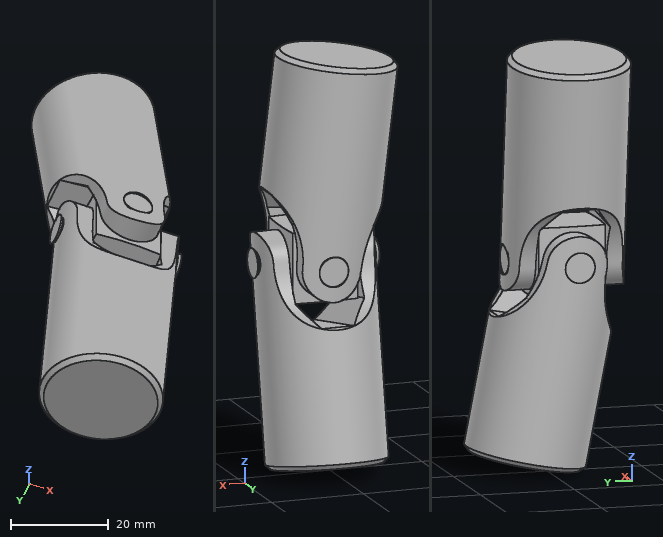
import cadquery as cq
import math

YOKE_RADIUS = 12.7
YOKE_LENGTH = 42.7
END_CHAMFER = 1.0
EYE_RADIUS = 6.4
FLARE_RADIUS = 19.2
SLOT_WIDTH = 15.0
SLOT_FLOOR_WIDTH = 7.1
SLOT_TAPER_START = 8.5
SLOT_DEPTH = 13.7
UPPER_TILT = 6.8
LOWER_TILT = 10.96

BLOCK_HEIGHT = 15.0
BLOCK_HALF_WIDTH = 7.1
BLOCK_CROWN = 0.35

PIN_HEAD_RADIUS = 3.15
PIN_FLARE = 0.55
PIN_SHAFT_RADIUS = PIN_HEAD_RADIUS - PIN_FLARE
PIN_INSERTION = 3.0
PIN_START = BLOCK_HALF_WIDTH - PIN_INSERTION
PIN_REACH_X = 13.25
PIN_REACH_Y = 12.3

ORIGIN = (0, 0, 0)
X_AXIS = (1, 0, 0)
Y_AXIS = (0, 1, 0)
Z_AXIS = (0, 0, 1)


def arm_profile():
    """Side outline of a yoke, round eye flaring into the barrel, extruded along Y."""
    flare_height = math.sqrt(FLARE_RADIUS**2 - (EYE_RADIUS + FLARE_RADIUS - YOKE_RADIUS) ** 2)
    mid_angle = math.asin(flare_height / FLARE_RADIUS) / 2
    mid_x = EYE_RADIUS + FLARE_RADIUS * (1 - math.cos(mid_angle))
    mid_z = FLARE_RADIUS * math.sin(mid_angle)
    return (
        cq.Workplane("XZ")
        .moveTo(-EYE_RADIUS, 0)
        .threePointArc((0, -EYE_RADIUS), (EYE_RADIUS, 0))
        .threePointArc((mid_x, mid_z), (YOKE_RADIUS, flare_height))
        .lineTo(YOKE_RADIUS, YOKE_LENGTH)
        .lineTo(-YOKE_RADIUS, YOKE_LENGTH)
        .lineTo(-YOKE_RADIUS, flare_height)
        .threePointArc((-mid_x, mid_z), (-EYE_RADIUS, 0))
        .close()
        .extrude(YOKE_RADIUS, both=True)
    )


def fork_slot():
    """Slot between the arms, running along X, with sloped walls down to a flat floor."""
    half_width = SLOT_WIDTH / 2
    half_floor = SLOT_FLOOR_WIDTH / 2
    return (
        cq.Workplane("YZ")
        .moveTo(-half_width, -EYE_RADIUS)
        .lineTo(half_width, -EYE_RADIUS)
        .lineTo(half_width, SLOT_TAPER_START)
        .lineTo(half_floor, SLOT_DEPTH)
        .lineTo(-half_floor, SLOT_DEPTH)
        .lineTo(-half_width, SLOT_TAPER_START)
        .close()
        .extrude(YOKE_RADIUS, both=True)
    )


def make_yoke():
    """Upright yoke without pin holes; its pin axis is Y, through the origin."""
    barrel = (
        cq.Workplane("XY")
        .workplane(offset=-EYE_RADIUS)
        .circle(YOKE_RADIUS)
        .extrude(EYE_RADIUS + YOKE_LENGTH)
        .faces(">Z")
        .chamfer(END_CHAMFER)
    )
    return barrel.intersect(arm_profile()).cut(fork_slot())


def make_pin(reach, angle):
    """Pin pointing out from the block, turned about Z from the +X direction."""
    flare_start = reach - PIN_FLARE
    pin = (
        cq.Workplane("XZ")
        .moveTo(PIN_START, 0)
        .lineTo(PIN_START, PIN_SHAFT_RADIUS)
        .lineTo(flare_start, PIN_SHAFT_RADIUS)
        .lineTo(reach, PIN_HEAD_RADIUS)
        .lineTo(reach, 0)
        .close()
        .revolve(360, ORIGIN, X_AXIS)
    )
    return pin.rotate(ORIGIN, Z_AXIS, angle)


def make_recess(reach, angle):
    """Clearance that leaves the outer end of a pin open where it sits below the barrel."""
    recess = cq.Workplane("YZ").workplane(offset=reach).circle(PIN_HEAD_RADIUS).extrude(YOKE_RADIUS)
    return recess.rotate(ORIGIN, Z_AXIS, angle)


def make_block():
    """Square block whose four upright sides bow outwards."""
    corner = BLOCK_HALF_WIDTH
    crest = BLOCK_HALF_WIDTH + BLOCK_CROWN
    return (
        cq.Workplane("XY")
        .workplane(offset=-BLOCK_HEIGHT / 2)
        .moveTo(-corner, -corner)
        .threePointArc((0, -crest), (corner, -corner))
        .threePointArc((crest, 0), (corner, corner))
        .threePointArc((0, crest), (-corner, corner))
        .threePointArc((-crest, 0), (-corner, -corner))
        .close()
        .extrude(BLOCK_HEIGHT)
    )


yoke = make_yoke()
upper_yoke = yoke.rotate(ORIGIN, Y_AXIS, -UPPER_TILT)
lower_yoke = (
    yoke.rotate(ORIGIN, X_AXIS, 180)
    .rotate(ORIGIN, Z_AXIS, 90)
    .rotate(ORIGIN, X_AXIS, LOWER_TILT)
)
block = make_block()

lower_pins = []
for angle in (0, 180):
    pin = make_pin(PIN_REACH_X, angle)
    lower_yoke = lower_yoke.cut(pin)
    block = block.cut(pin)
    lower_pins.append(pin.val())

upper_pins = []
for angle in (90, 270):
    pin = make_pin(PIN_REACH_Y, angle)
    upper_yoke = upper_yoke.cut(pin).cut(make_recess(PIN_REACH_Y, angle))
    block = block.cut(pin)
    upper_pins.append(pin.val())

result = cq.Compound.makeCompound(
    [upper_yoke.val(), lower_yoke.val(), block.val(), *lower_pins, *upper_pins]
)